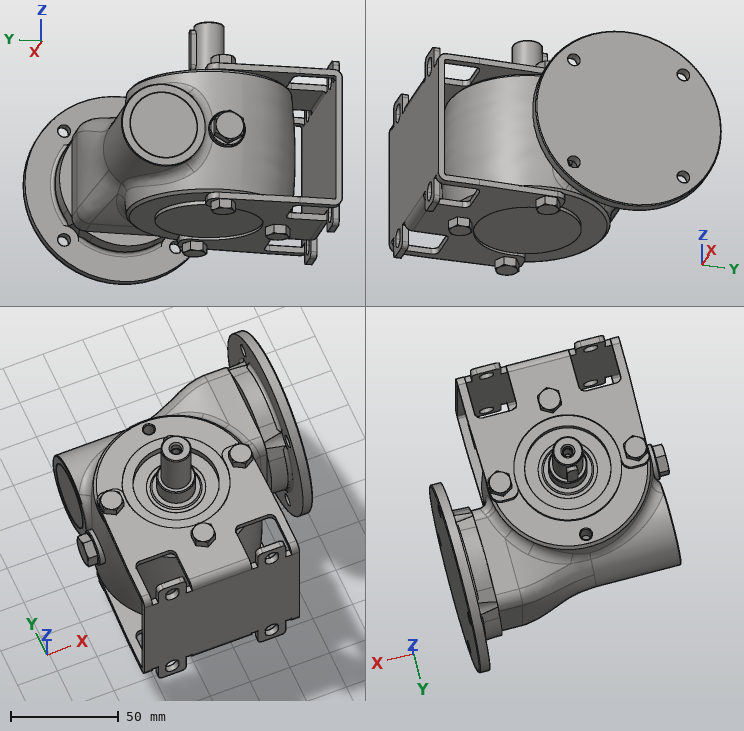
import cadquery as cq
import math

face_z = 30.0
face_radius = 37.0
rim_z = 28.6
rim_radius = 38.4
belly_radius = 40.0
ring_radius = 25.0
ring_z = 31.8
recess_radius = 20.0
recess_z = 28.0
seal_outer_radius = 13.75
seal_lip_radius = 12.0
seal_lip_top_radius = 11.25
seal_depth = 0.2
seal_lip_height = 0.4

worm_y = 30.0
worm_radius = 20.0
worm_end_x = -41.0
worm_end_edge = 0.4
cap_radius = 16.0
cap_groove = 0.2
neck_half = 24.9
neck_corner = 6.5
neck_start_x = 36.4
neck_side_bulge = 0.05
neck_steps = 4
round_split = math.radians(30)
blend_radius = 5.0
edge_tolerance = 1e-3
seam_probe = 0.43

collar_start_x = 47.8
collar_radius = 30.7
collar_draft = 2.7
corner_half_angle = math.radians(16)
flange_x = 57.5
flange_thickness = 5.0
flange_radius = 45.0
flange_edge = 0.5
flange_root_radius = 33.0
flange_root_fillet = 1.7
flange_hole = 6.0
flange_bolt_radius = 37.5
scallop_radius = 6.15
scallop_draft = 4.7

shaft_diameter = 14.0
shaft_end_z = 63.0
shaft_edge = 0.5
shoulder_diameter = 18.0
shoulder_z = 38.0
centre_mouth = 6.5
centre_bore = 4.92
centre_bore_depth = 4.0
centre_hole = 4.13
centre_cone_depth = 1.0
centre_depth = 14.0
key_width = 5.0
key_length = 20.0
key_mid_z = 50.5
key_top_y = 9.0
key_bottom_y = 4.0

sheet = 3.0
bracket_z = face_z + sheet
bracket_back_y = -55.0
bracket_half_width = 39.0
bend_radius = 4.0
taper_y = -35.0
ear_half_width = 38.0
ear_corner_y = 3.0
ear_top_y = 7.7
ear_corner = 4.5
window_width = 20.0
window_y = -33.0
window_corner = 3.0
tab_x = 25.0
tab_width = 14.0
tab_end_z = 40.0
tab_corner = 2.5
tab_slot_width = 6.5
tab_slot_length = 9.0
tab_slot_z = 32.4

bolt_circle_radius = 32.5
bolt_flats = 10.0
bolt_head_height = 4.4
spare_mouth = 6.0
spare_hole = 5.0
spare_hole_depth = 12.0
plug_flats = 13.0
plug_head_x = -47.0
plug_collar_x = -42.2
plug_collar_diameter = 17.0
plug_collar_edge = 0.5
plug_collar_length = 8.0
hex_edge = 0.4
drill_half_angle = math.radians(59)


def x_plane(x):
    """Plane facing +X whose local axes are Y and Z, centred on the worm axis."""
    return cq.Plane(origin=(x, worm_y, 0), xDir=(0, 1, 0), normal=(1, 0, 0))


def hex_head(flats, height):
    """Hexagon on z = 0 with two corners on Y and a crowned top."""
    across_corners = flats / math.cos(math.pi / 6)
    prism = cq.Workplane("XY").polygon(6, across_corners).extrude(height)
    prism = prism.rotate((0, 0, 0), (0, 0, 1), 30)
    crown = cq.Workplane("XY").circle(across_corners / 2).extrude(height)
    crown = crown.faces(">Z").chamfer(hex_edge, (across_corners - flats) / 2)
    return prism.intersect(crown)


def drill_point(diameter):
    """Length of the conical bottom of a drilled hole."""
    return diameter / 2 / math.tan(drill_half_angle)


def gear_housing():
    return (
        cq.Workplane("XZ")
        .moveTo(0, -face_z)
        .lineTo(face_radius, -face_z)
        .lineTo(rim_radius, -rim_z)
        .threePointArc((belly_radius, 0), (rim_radius, rim_z))
        .lineTo(face_radius, face_z)
        .lineTo(0, face_z)
        .close()
        .revolve(360, (0, 0, 0), (0, 1, 0))
    )


def neck_section(x, progress):
    """Outline of eight arcs, from the round worm tube (progress 0) to the square neck (1)."""
    ease = progress ** 2 * (3 - 2 * progress)

    def blend(round_value, square_value):
        return round_value + (square_value - round_value) * ease

    middle = blend(worm_radius, neck_half)
    flat_half = blend(worm_radius * math.sin(round_split), neck_half - neck_corner)
    flat_end = blend(worm_radius * math.cos(round_split), neck_half - neck_side_bulge)
    diagonal = blend(worm_radius / math.sqrt(2), neck_half - neck_corner * (1 - 1 / math.sqrt(2)))
    outline = cq.Workplane(x_plane(x)).moveTo(flat_end, -flat_half)
    for quarter in range(4):
        turn = quarter * math.pi / 2

        def turned(u, v):
            return (
                u * math.cos(turn) - v * math.sin(turn),
                u * math.sin(turn) + v * math.cos(turn),
            )

        outline = outline.threePointArc(turned(middle, 0), turned(flat_end, flat_half))
        outline = outline.threePointArc(turned(diagonal, diagonal), turned(flat_half, flat_end))
    return outline.close()


def worm_housing():
    tube = cq.Workplane(x_plane(worm_end_x)).circle(worm_radius).extrude(-worm_end_x)
    tube = tube.faces("<X").chamfer(worm_end_edge)
    cap_edge = (
        cq.Workplane(x_plane(worm_end_x))
        .circle(cap_radius)
        .circle(cap_radius - cap_groove)
        .extrude(cap_groove)
    )
    sections = []
    for step in range(neck_steps + 1):
        progress = step / neck_steps
        sections.append(neck_section(neck_start_x * progress, progress).val())
    transition = cq.Workplane(cq.Solid.makeLoft(sections, False))
    neck = neck_section(neck_start_x, 1).extrude(collar_start_x - neck_start_x)
    return tube.cut(cap_edge).union(transition).union(neck)


def is_on_edges(point, edges):
    vertex = cq.Vertex.makeVertex(*point.toTuple())
    return any(edge.distance(vertex) < edge_tolerance for edge in edges)


def casting():
    """Gear and worm housings joined, with the seam between them rounded."""
    gear = gear_housing()
    worm = worm_housing()
    own_edges = gear.edges().vals() + worm.edges().vals()
    joined = gear.union(worm)
    seam = []
    for edge in joined.edges().vals():
        if not is_on_edges(edge.positionAt(seam_probe), own_edges):
            seam.append(edge)
    return joined.newObject(seam).fillet(blend_radius)


def spare_bolt_hole():
    """The fourth hole of the bolt circle, in the upper face."""
    hole = (
        cq.Workplane("XZ")
        .moveTo(0, face_z)
        .lineTo(spare_mouth / 2, face_z)
        .lineTo(spare_hole / 2, face_z - (spare_mouth - spare_hole) / 2)
        .lineTo(spare_hole / 2, face_z - spare_hole_depth)
        .lineTo(0, face_z - spare_hole_depth - drill_point(spare_hole))
        .close()
        .revolve(360, (0, 0, 0), (0, 1, 0))
    )
    return hole.translate((0, bolt_circle_radius, 0))


def collar_section():
    """Circle with a tangent-sided corner towards each flange bolt."""
    apex_radius = collar_radius / math.cos(corner_half_angle)

    def polar(radius, angle):
        return (radius * math.cos(angle), radius * math.sin(angle))

    outline = cq.Workplane(x_plane(collar_start_x))
    outline = outline.moveTo(*polar(collar_radius, -math.pi / 4 + corner_half_angle))
    for quarter in range(4):
        middle = quarter * math.pi / 2
        corner = middle + math.pi / 4
        corner_start = polar(collar_radius, corner - corner_half_angle)
        corner_end = polar(collar_radius, corner + corner_half_angle)
        outline = outline.threePointArc(polar(collar_radius, middle), corner_start)
        outline = outline.lineTo(*polar(apex_radius, corner)).lineTo(*corner_end)
    return outline.close()


def motor_flange():
    flange_end_x = flange_x + flange_thickness
    collar_length = flange_x - collar_start_x
    collar = collar_section().extrude(collar_length, taper=-collar_draft)
    root_x = flange_x - flange_root_fillet
    disc = (
        cq.Workplane("XY")
        .moveTo(root_x, 0)
        .lineTo(root_x, flange_root_radius - flange_root_fillet)
        .radiusArc((flange_x, flange_root_radius), -flange_root_fillet)
        .lineTo(flange_x, flange_radius)
        .lineTo(flange_end_x - flange_edge, flange_radius)
        .lineTo(flange_end_x, flange_radius - flange_edge)
        .lineTo(flange_end_x, 0)
        .close()
        .revolve(360, (0, 0, 0), (1, 0, 0))
        .translate((0, worm_y, 0))
    )
    pattern = cq.Workplane(x_plane(collar_start_x)).polarArray(flange_bolt_radius, 45, 360, 4)
    scallops = pattern.circle(scallop_radius).extrude(collar_length, taper=-scallop_draft)
    holes = pattern.circle(flange_hole / 2).extrude(flange_end_x - collar_start_x)
    return collar.union(disc).cut(scallops).cut(holes)


def shaft_recess():
    recess = cq.Workplane("XY").workplane(offset=recess_z).circle(recess_radius)
    recess = recess.extrude(ring_z - recess_z)
    lip_top_z = recess_z + seal_lip_height
    seal_floor_z = recess_z - seal_depth
    seal = cq.Workplane("XY").workplane(offset=seal_floor_z).circle(seal_outer_radius)
    seal = seal.extrude(seal_depth)
    lip = (
        cq.Workplane("XZ")
        .moveTo(0, seal_floor_z)
        .lineTo(seal_lip_radius, seal_floor_z)
        .lineTo(seal_lip_top_radius, lip_top_z)
        .lineTo(0, lip_top_z)
        .close()
        .revolve(360, (0, 0, 0), (0, 1, 0))
    )
    return recess.union(seal).cut(lip)


def output_shaft():
    shoulder = cq.Workplane("XY").circle(shoulder_diameter / 2).extrude(shoulder_z)
    shoulder = shoulder.faces(">Z").chamfer(shaft_edge)
    shaft = cq.Workplane("XY").circle(shaft_diameter / 2).extrude(shaft_end_z)
    shaft = shaft.faces(">Z").chamfer(shaft_edge)
    key = (
        cq.Workplane("XZ", origin=(0, key_top_y, key_mid_z))
        .slot2D(key_length, key_width, 90)
        .extrude(key_top_y - key_bottom_y)
    )
    centre = (
        cq.Workplane("XZ")
        .moveTo(0, shaft_end_z)
        .lineTo(centre_mouth / 2, shaft_end_z)
        .lineTo(centre_bore / 2, shaft_end_z - centre_cone_depth)
        .lineTo(centre_bore / 2, shaft_end_z - centre_bore_depth)
        .lineTo(centre_hole / 2, shaft_end_z - centre_bore_depth)
        .lineTo(centre_hole / 2, shaft_end_z - centre_depth)
        .lineTo(0, shaft_end_z - centre_depth - drill_point(centre_hole))
        .close()
        .revolve(360, (0, 0, 0), (0, 1, 0))
    )
    return shoulder.union(shaft).cut(centre).union(key)


def bracket_channel():
    """Bent sheet on three sides, its flanges shaped to ears around the pilot rings."""
    depth = ear_top_y - bracket_back_y
    channel = (
        cq.Workplane("XY")
        .box(2 * bracket_half_width, depth, 2 * bracket_z, centered=(True, False, True))
        .translate((0, bracket_back_y, 0))
        .edges("|X and <Y")
        .fillet(bend_radius)
    )
    inside = (
        cq.Workplane("XY")
        .box(2 * bracket_half_width, depth, 2 * face_z, centered=(True, False, True))
        .translate((0, bracket_back_y + sheet, 0))
        .edges("|X and <Y")
        .fillet(bend_radius - sheet)
    )
    outline = (
        cq.Workplane("XY")
        .polyline([
            (-bracket_half_width, bracket_back_y),
            (bracket_half_width, bracket_back_y),
            (bracket_half_width, taper_y),
            (ear_half_width, ear_corner_y),
            (ear_half_width, ear_top_y),
            (-ear_half_width, ear_top_y),
            (-ear_half_width, ear_corner_y),
            (-bracket_half_width, taper_y),
        ])
        .close()
        .extrude(bracket_z, both=True)
        .cut(cq.Workplane("XY").circle(ring_radius).extrude(bracket_z, both=True))
        .edges("|Z and >Y")
        .fillet(ear_corner)
    )
    return channel.cut(inside).intersect(outline)


def foot_window():
    """Opening in the upper flange, through the bend, around the +X foot tab."""
    depth = window_y - bracket_back_y
    return (
        cq.Workplane("XY")
        .box(window_width, depth, bend_radius)
        .edges("|Z and >Y")
        .fillet(window_corner)
        .translate((tab_x, window_y - depth / 2, bracket_z - bend_radius / 2))
    )


def foot_tab():
    """Upper +X tab that continues the back sheet past the bend, without its slot."""
    tab_start_z = bracket_z - bend_radius
    return (
        cq.Workplane("XY")
        .box(tab_width, sheet, tab_end_z - tab_start_z)
        .edges("|Y and >Z")
        .fillet(tab_corner)
        .translate((tab_x, bracket_back_y + sheet / 2, (tab_end_z + tab_start_z) / 2))
    )


def foot_slot():
    return (
        cq.Workplane("XZ", origin=(tab_x, bracket_back_y + sheet, tab_slot_z))
        .slot2D(tab_slot_length, tab_slot_width, 90)
        .extrude(sheet)
    )


def four_fold(shape):
    """The shape and its mirror images in X and in Z."""
    pair = shape.union(shape.mirror("YZ"))
    return pair.union(pair.mirror("XY"))


def bracket():
    windows = four_fold(foot_window())
    tabs = four_fold(foot_tab())
    slots = four_fold(foot_slot())
    return bracket_channel().cut(windows).union(tabs).cut(slots)


def bracket_bolts():
    bolts = cq.Workplane("XY")
    for x, y in ((-bolt_circle_radius, 0), (bolt_circle_radius, 0), (0, -bolt_circle_radius)):
        head = hex_head(bolt_flats, bolt_head_height).translate((x, y, bracket_z))
        bolts = bolts.add(head).add(head.mirror("XY"))
    return bolts.combine()


def filler_plug():
    head = hex_head(plug_flats, plug_collar_x - plug_head_x)
    collar = cq.Workplane("XY").circle(plug_collar_diameter / 2).extrude(-plug_collar_length)
    collar = collar.faces(">Z").chamfer(plug_collar_edge)
    plug = head.union(collar).rotate((0, 0, 0), (0, 0, 1), 90)
    return plug.rotate((0, 0, 0), (0, 1, 0), -90).translate((plug_collar_x, 0, 0))


pilot_ring = cq.Workplane("XY").circle(ring_radius).extrude(ring_z, both=True)
result = (
    casting()
    .union(pilot_ring)
    .cut(shaft_recess())
    .cut(spare_bolt_hole())
    .union(motor_flange())
    .union(output_shaft())
    .union(bracket())
    .union(bracket_bolts())
    .union(filler_plug())
)